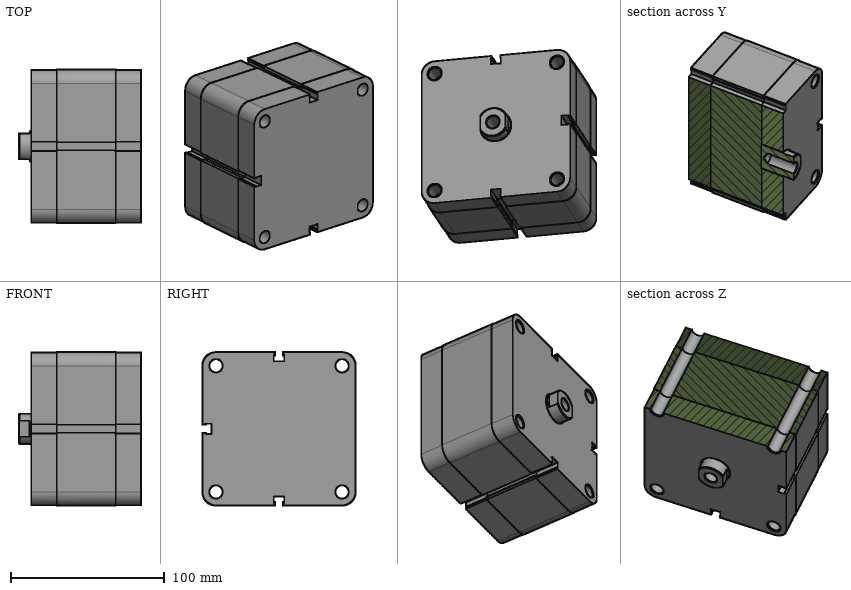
import cadquery as cq


cover_length = 16.5
barrel_length = 38.5
rod_projection = 8.0
barrel_start = cover_length
rear_cover_start = barrel_start + barrel_length

barrel_side = 100.0
cover_side = 99.5
corner_center = 41.0
bolt_hole_diameter = 8.5
bolt_hole_chamfer = 0.6

slot_floor = 44.0
slot_width = 6.6
cover_mouth_width = 5.9
cover_lip_bottom = 48.1
barrel_mouth_width = 5.1
barrel_lip_bottom = 47.4
slot_angles = (0, 90, 180)

rod_diameter = 20.0
rod_end_chamfer = 0.5
rod_bore_chamfer = 0.5
flat_across = 17.0
flat_length = 6.8
flat_runout = 0.5
thread_hole_diameter = 8.5
thread_hole_chamfer = 0.4
thread_hole_depth = 20.0
drill_tip_length = 2.5


def slot_cutter(start, length, mouth_width, lip_bottom):
    """T-slot open to +Z, running along X."""
    mouth_top = barrel_side / 2
    outline = [
        (-slot_width / 2, slot_floor),
        (slot_width / 2, slot_floor),
        (slot_width / 2, lip_bottom),
        (mouth_width / 2, lip_bottom),
        (mouth_width / 2, mouth_top),
        (-mouth_width / 2, mouth_top),
        (-mouth_width / 2, lip_bottom),
        (-slot_width / 2, lip_bottom),
    ]
    return cq.Workplane("YZ", origin=(start, 0, 0)).polyline(outline).close().extrude(length)


def square_section(start, length, side, mouth_width, lip_bottom):
    """Rounded square block with four bolt holes and three T-slots."""
    section = (
        cq.Workplane("YZ", origin=(start, 0, 0))
        .rect(side, side)
        .extrude(length)
        .edges("|X")
        .fillet(side / 2 - corner_center)
    )
    bolt_holes = (
        cq.Workplane("YZ", origin=(start, 0, 0))
        .rect(2 * corner_center, 2 * corner_center, forConstruction=True)
        .vertices()
        .circle(bolt_hole_diameter / 2)
        .extrude(length)
    )
    section = section.cut(bolt_holes)
    slot = slot_cutter(start, length, mouth_width, lip_bottom)
    for angle in slot_angles:
        section = section.cut(slot.rotate((0, 0, 0), (1, 0, 0), angle))
    return section


def make_cover(start):
    """Plain end cover, slightly smaller than the barrel."""
    return square_section(start, cover_length, cover_side, cover_mouth_width, cover_lip_bottom)


def entry_chamfer(y, z, hole_radius, chamfer):
    """Cone that chamfers the mouth of a hole in the front face."""
    cone = cq.Solid.makeCone(
        hole_radius + chamfer, hole_radius, chamfer, cq.Vector(0, y, z), cq.Vector(1, 0, 0)
    )
    return cq.Workplane(cone)


def make_front_cover():
    """Cover with chamfered bolt holes and a chamfered bore for the rod."""
    cover = make_cover(0)
    for y in (-corner_center, corner_center):
        for z in (-corner_center, corner_center):
            cover = cover.cut(entry_chamfer(y, z, bolt_hole_diameter / 2, bolt_hole_chamfer))
    rod_bore = cq.Workplane("YZ").circle(rod_diameter / 2).extrude(cover_length)
    return cover.cut(rod_bore).cut(entry_chamfer(0, 0, rod_diameter / 2, rod_bore_chamfer))


def make_rod():
    """Rod with two wrench flats and a threaded hole in its end."""
    rod_start = -rod_projection
    rod = (
        cq.Workplane("YZ", origin=(rod_start, 0, 0))
        .circle(rod_diameter / 2)
        .extrude(rod_projection + cover_length)
        .faces("<X")
        .chamfer(rod_end_chamfer)
    )
    flat_end = rod_start + flat_length
    flat_cut = (
        cq.Workplane("XY")
        .moveTo(rod_start, flat_across / 2)
        .lineTo(flat_end, flat_across / 2)
        .lineTo(flat_end + flat_runout, rod_diameter / 2)
        .lineTo(rod_start, rod_diameter / 2)
        .close()
        .extrude(rod_diameter / 2, both=True)
    )
    thread_radius = thread_hole_diameter / 2
    thread_hole = (
        cq.Workplane("XY")
        .moveTo(rod_start, 0)
        .lineTo(rod_start, thread_radius + thread_hole_chamfer)
        .lineTo(rod_start + thread_hole_chamfer, thread_radius)
        .lineTo(rod_start + thread_hole_depth, thread_radius)
        .lineTo(rod_start + thread_hole_depth + drill_tip_length, 0)
        .close()
        .revolve(360, (0, 0, 0), (1, 0, 0))
    )
    return rod.cut(flat_cut).cut(flat_cut.mirror("XZ")).cut(thread_hole)


front_cover = make_front_cover()
barrel = square_section(
    barrel_start, barrel_length, barrel_side, barrel_mouth_width, barrel_lip_bottom
)
rear_cover = make_cover(rear_cover_start)
rod = make_rod()

result = cq.Compound.makeCompound([front_cover.val(), barrel.val(), rear_cover.val(), rod.val()])